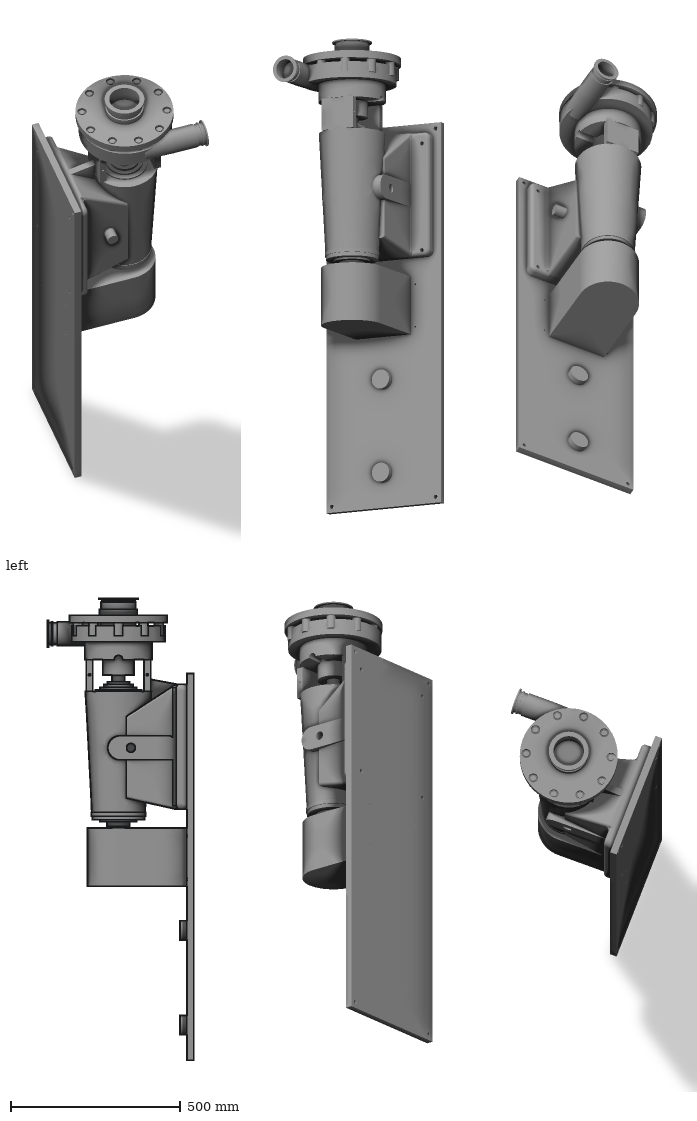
import cadquery as cq
import math


PLATE_WIDTH = 381.0
PLATE_HEIGHT = 1143.0
PLATE_THICKNESS = 20.0
PLATE_FACE_Y = -202.0
CORNER_HOLE_INSET = 18.0
HOLE_DIAMETER = 12.0
GUARD_RADIUS = 92.0
GUARD_BOTTOM_Z = 514.0
GUARD_TOP_Z = 687.0
SCREW_HOLE_DIAMETER = 5.0
SCREW_HOLE_X = 105.0
SCREW_HOLE_LEVELS = [535.0, 663.0]
PAD_RADIUS = 29.0
PAD_LENGTH = 20.0
PAD_LEVELS = [104.0, 384.0]

INLET_TOP_Z = 1366.0
FERRULE_THICKNESS = 4.0
INLET_FERRULE_RADIUS = 59.0
INLET_NECK_RADIUS = 49.0
INLET_PIPE_RADIUS = 52.0
INLET_COLLAR_RADIUS = 56.0
INLET_COLLAR_TOP_Z = 1333.0
INLET_BORE_RADIUS = 45.0
COVER_RADIUS = 145.0
COVER_TOP_Z = 1315.0
COVER_BOTTOM_Z = 1294.0
CASING_RADIUS = 138.0
CASING_OFFSET_X = 7.0
CASING_TOP_Z = 1284.0
CASING_BOTTOM_Z = 1236.0
BOLT_COUNT = 10
BOLT_CIRCLE_RADIUS = 125.0
BOSS_RADIUS = 14.0
BOSS_BOTTOM_Z = 1254.0
BOLT_RECESS_DEPTH = 8.0
BOLT_HEAD_RADIUS = 8.0
BOLT_HEAD_HEIGHT = 5.0
DRUM_RADIUS = 100.0
DRUM_BOTTOM_Z = 1185.0
NOTCH_RADIUS = 12.0

OUTLET_X = 115.0
OUTLET_Z = 1261.0
OUTLET_END_Y = 210.0
OUTLET_FERRULE_RADIUS = 40.0
OUTLET_PIPE_RADIUS = 35.0
OUTLET_NECK_RADIUS = 33.0
OUTLET_PIPE_END_Y = 180.0
OUTLET_CONE_END_Y = 105.0
OUTLET_START_Y = 14.0
OUTLET_BORE_RADIUS = 29.0
OUTLET_BORE_DEPTH = 48.0
BEAD_Y = 194.0
BEAD_WIDTH = 4.0

FRAME_TOP_Z = 1090.0
FRAME_TOP_RADIUS = 98.0
FRAME_BOTTOM_Z = 734.0
FRAME_BOTTOM_RADIUS = 79.0
END_FLANGE_RADIUS = 80.0
END_FLANGE_BOTTOM_Z = 710.0
END_CAP_RADIUS = 78.0
END_CAP_TOP_Z = 721.0
COUPLING_RADIUS = 46.0
COUPLING_BOTTOM_Z = 1138.0
SHAFT_RADIUS = 19.0
BEARING_COVER_RADIUS = 68.0
BEARING_COVER_HEIGHT = 5.0
HUB_STEPS = [(55.0, 1102.0), (44.0, 1110.0), (33.0, 1119.0)]
LOWER_COVER_RADIUS = 55.0
LOWER_HUB_RADIUS = 34.0
LOWER_HUB_END_Z = 691.0

LEG_HALF_WIDTH = 52.0
LEG_INNER_Y = 75.0
LEG_THICKNESS = 20.0
LEG_HOLE_Z = 1139.0
LEG_HOLE_DIAMETER = 5.0

FOOT_WIDTH = 333.0
FOOT_THICKNESS = 31.0
FOOT_BOTTOM_Z = 742.0
FOOT_TOP_Z = 1112.0
FOOT_CORNER_RADIUS = 18.0
FOOT_EDGE_RADIUS = 11.0
FOOT_HOLE_X = 143.0
FOOT_HOLE_LEVELS = [757.0, 1078.0]
WEB_FRONT_Y = -23.0
WEB_FRONT_HALF_WIDTH = 95.0
WEB_REAR_HALF_WIDTH = 110.0
WEB_FRONT_LOW_Z = 775.0
WEB_FRONT_HIGH_Z = 1016.0
WEB_EDGE_RADIUS = 8.0
WEB_ROOT_RADIUS = 10.0
RIB_WIDTH = 20.0
RIB_TOP_Z = 1130.0

LUG_OUTER_X = -110.0
LUG_INNER_X = -68.0
LUG_HALF_HEIGHT = 35.0
LUG_Z = 923.0
LUG_TIP_Y = 31.0
LUG_REAR_Y = -167.0
LUG_REAR_RADIUS = 18.0
LUG_HOLE_Y = -37.0
LUG_HOLE_DIAMETER = 26.0
PLUG_Y = -83.0
PLUG_RADIUS = 16.0
PLUG_INNER_X = 95.0
PLUG_OUTER_X = 135.0


def cylinder_z(radius, bottom, top, x=0.0, y=0.0):
    return cq.Workplane("XY", origin=(x, y, bottom)).circle(radius).extrude(top - bottom)


def cylinder_y(radius, start, end, x, z):
    return cq.Workplane("XZ", origin=(x, start, z)).circle(radius).extrude(start - end)


def cylinder_x(radius, start, end, y, z):
    return cq.Workplane("YZ", origin=(start, y, z)).circle(radius).extrude(end - start)


def box(x_range, y_range, z_range):
    lengths = [high - low for low, high in (x_range, y_range, z_range)]
    corner = (x_range[0], y_range[0], z_range[0])
    return cq.Workplane("XY", origin=corner).box(*lengths, centered=False)


def turned(profile):
    """Revolve (radius, height) points about Z, closing the outline along the axis."""
    outline = [(0, profile[0][1])] + profile + [(0, profile[-1][1])]
    return cq.Workplane("XZ").polyline(outline).close().revolve(360, (0, 0), (0, 1))


def plate_holes():
    plate_rear_y = PLATE_FACE_Y - PLATE_THICKNESS
    corner_x = PLATE_WIDTH / 2 - CORNER_HOLE_INSET
    corner_levels = [CORNER_HOLE_INSET, PLATE_HEIGHT - CORNER_HOLE_INSET]
    patterns = [
        (corner_x, corner_levels, HOLE_DIAMETER),
        (FOOT_HOLE_X, FOOT_HOLE_LEVELS, HOLE_DIAMETER),
        (SCREW_HOLE_X, SCREW_HOLE_LEVELS, SCREW_HOLE_DIAMETER),
    ]
    holes = cq.Workplane("XY")
    for hole_x, levels, diameter in patterns:
        for side in (-1, 1):
            for z in levels:
                holes = holes.add(cylinder_y(diameter / 2, plate_rear_y, PLATE_FACE_Y, side * hole_x, z))
    return holes.combine()


def belt_guard():
    return (
        cq.Workplane("XY", origin=(0, 0, GUARD_BOTTOM_Z))
        .moveTo(-GUARD_RADIUS, PLATE_FACE_Y)
        .lineTo(GUARD_RADIUS, PLATE_FACE_Y)
        .lineTo(GUARD_RADIUS, 0)
        .threePointArc((0, GUARD_RADIUS), (-GUARD_RADIUS, 0))
        .close()
        .extrude(GUARD_TOP_Z - GUARD_BOTTOM_Z)
    )


def make_base():
    half_width = PLATE_WIDTH / 2
    plate_rear_y = PLATE_FACE_Y - PLATE_THICKNESS
    base = box((-half_width, half_width), (plate_rear_y, PLATE_FACE_Y), (0, PLATE_HEIGHT))
    base = base.cut(plate_holes()).union(belt_guard())
    for z in PAD_LEVELS:
        base = base.union(cylinder_y(PAD_RADIUS, PLATE_FACE_Y, PLATE_FACE_Y + PAD_LENGTH, 0, z))
    return base


def pump_inlet():
    ferrule_z = INLET_TOP_Z - FERRULE_THICKNESS
    neck_z = ferrule_z - FERRULE_THICKNESS
    return turned([
        (INLET_COLLAR_RADIUS, COVER_TOP_Z),
        (INLET_COLLAR_RADIUS, INLET_COLLAR_TOP_Z),
        (INLET_PIPE_RADIUS, INLET_COLLAR_TOP_Z),
        (INLET_PIPE_RADIUS, neck_z - FERRULE_THICKNESS),
        (INLET_NECK_RADIUS, neck_z),
        (INLET_NECK_RADIUS, ferrule_z),
        (INLET_FERRULE_RADIUS, ferrule_z),
        (INLET_FERRULE_RADIUS, INLET_TOP_Z),
    ]).cut(cylinder_z(INLET_BORE_RADIUS, COVER_TOP_Z, INLET_TOP_Z))


def pump_outlet():
    ferrule_y = OUTLET_END_Y - FERRULE_THICKNESS
    bore_start_y = OUTLET_END_Y - OUTLET_BORE_DEPTH
    outlet = cylinder_y(OUTLET_PIPE_RADIUS, OUTLET_CONE_END_Y, OUTLET_PIPE_END_Y, OUTLET_X, OUTLET_Z)
    cone = (
        cq.Workplane("XZ", origin=(OUTLET_X, OUTLET_START_Y, OUTLET_Z))
        .circle(OUTLET_NECK_RADIUS)
        .workplane(offset=OUTLET_START_Y - OUTLET_CONE_END_Y)
        .circle(OUTLET_PIPE_RADIUS)
        .loft()
    )
    outlet = outlet.union(cone)
    steps = [
        (OUTLET_NECK_RADIUS, OUTLET_PIPE_END_Y, ferrule_y),
        (OUTLET_PIPE_RADIUS, BEAD_Y, BEAD_Y + BEAD_WIDTH),
        (OUTLET_FERRULE_RADIUS, ferrule_y, OUTLET_END_Y),
    ]
    for radius, start, end in steps:
        outlet = outlet.union(cylinder_y(radius, start, end, OUTLET_X, OUTLET_Z))
    return outlet.cut(cylinder_y(OUTLET_BORE_RADIUS, bore_start_y, OUTLET_END_Y, OUTLET_X, OUTLET_Z))


def pump_head():
    """Cover, eccentric casing and drum, joined by a central spigot and the bolt bosses."""
    cover = cylinder_z(COVER_RADIUS, COVER_BOTTOM_Z, COVER_TOP_Z)
    spigot = cylinder_z(INLET_PIPE_RADIUS, CASING_TOP_Z, COVER_BOTTOM_Z)
    casing = cylinder_z(CASING_RADIUS, CASING_BOTTOM_Z, CASING_TOP_Z, x=CASING_OFFSET_X)
    drum = cylinder_z(DRUM_RADIUS, DRUM_BOTTOM_Z, CASING_BOTTOM_Z)
    notch = cylinder_x(NOTCH_RADIUS, -DRUM_RADIUS, DRUM_RADIUS, 0, DRUM_BOTTOM_Z)
    head = cover.union(spigot).union(casing).union(drum.cut(notch))
    recess_floor_z = COVER_TOP_Z - BOLT_RECESS_DEPTH
    bolt_top_z = recess_floor_z + BOLT_HEAD_HEIGHT
    for i in range(BOLT_COUNT):
        angle = 2 * math.pi * i / BOLT_COUNT
        x = BOLT_CIRCLE_RADIUS * math.cos(angle)
        y = BOLT_CIRCLE_RADIUS * math.sin(angle)
        head = head.union(cylinder_z(BOSS_RADIUS, BOSS_BOTTOM_Z, COVER_BOTTOM_Z, x, y))
        head = head.cut(cylinder_z(BOSS_RADIUS, recess_floor_z, COVER_TOP_Z, x, y))
        head = head.union(cylinder_z(BOLT_HEAD_RADIUS, recess_floor_z, bolt_top_z, x, y))
    return head.union(pump_inlet()).union(pump_outlet())


def bearing_frame():
    """Tapered frame with its bearing covers, and the shaft and coupling on the same axis."""
    top_cover_z = FRAME_TOP_Z + BEARING_COVER_HEIGHT
    lower_cover_z = END_FLANGE_BOTTOM_Z - BEARING_COVER_HEIGHT
    hub_outline = []
    step_z = top_cover_z
    for radius, step_top_z in HUB_STEPS:
        hub_outline += [(radius, step_z), (radius, step_top_z)]
        step_z = step_top_z
    return turned([
        (SHAFT_RADIUS, GUARD_TOP_Z),
        (SHAFT_RADIUS, LOWER_HUB_END_Z),
        (LOWER_HUB_RADIUS, LOWER_HUB_END_Z),
        (LOWER_HUB_RADIUS, lower_cover_z),
        (LOWER_COVER_RADIUS, lower_cover_z),
        (LOWER_COVER_RADIUS, END_FLANGE_BOTTOM_Z),
        (END_CAP_RADIUS, END_FLANGE_BOTTOM_Z),
        (END_CAP_RADIUS, END_CAP_TOP_Z),
        (END_FLANGE_RADIUS, END_CAP_TOP_Z),
        (END_FLANGE_RADIUS, FRAME_BOTTOM_Z),
        (FRAME_BOTTOM_RADIUS, FRAME_BOTTOM_Z),
        (FRAME_TOP_RADIUS, FRAME_TOP_Z),
        (BEARING_COVER_RADIUS, FRAME_TOP_Z),
        (BEARING_COVER_RADIUS, top_cover_z),
        *hub_outline,
        (SHAFT_RADIUS, step_z),
        (SHAFT_RADIUS, COUPLING_BOTTOM_Z),
        (COUPLING_RADIUS, COUPLING_BOTTOM_Z),
        (COUPLING_RADIUS, DRUM_BOTTOM_Z + NOTCH_RADIUS),
    ])


def lantern_leg(side):
    leg_y = sorted((side * LEG_INNER_Y, side * (LEG_INNER_Y + LEG_THICKNESS)))
    leg = box((-LEG_HALF_WIDTH, LEG_HALF_WIDTH), leg_y, (FRAME_TOP_Z, DRUM_BOTTOM_Z))
    hole = cylinder_x(LEG_HOLE_DIAMETER / 2, -LEG_HALF_WIDTH, LEG_HALF_WIDTH, sum(leg_y) / 2, LEG_HOLE_Z)
    return leg.cut(hole)


def bracket_foot():
    foot_top_y = PLATE_FACE_Y + FOOT_THICKNESS
    half_width = FOOT_WIDTH / 2
    foot = (
        box((-half_width, half_width), (PLATE_FACE_Y, foot_top_y), (FOOT_BOTTOM_Z, FOOT_TOP_Z))
        .edges("|Y").fillet(FOOT_CORNER_RADIUS)
    )
    foot = foot.faces(">Y").edges("|Z").fillet(FOOT_EDGE_RADIUS)
    for side in (-1, 1):
        for z in FOOT_HOLE_LEVELS:
            foot = foot.cut(cylinder_y(HOLE_DIAMETER / 2, PLATE_FACE_Y, foot_top_y, side * FOOT_HOLE_X, z))
    return foot


def bracket_web():
    """Block between frame and foot: it widens toward the foot in plan and in side view."""
    foot_top_y = PLATE_FACE_Y + FOOT_THICKNESS
    plan = [
        (-WEB_FRONT_HALF_WIDTH, WEB_FRONT_Y),
        (-WEB_REAR_HALF_WIDTH, foot_top_y),
        (-WEB_REAR_HALF_WIDTH, PLATE_FACE_Y),
        (WEB_REAR_HALF_WIDTH, PLATE_FACE_Y),
        (WEB_REAR_HALF_WIDTH, foot_top_y),
        (WEB_FRONT_HALF_WIDTH, WEB_FRONT_Y),
    ]
    side_outline = [
        (WEB_FRONT_Y, WEB_FRONT_LOW_Z),
        (WEB_FRONT_Y, WEB_FRONT_HIGH_Z),
        (foot_top_y, FOOT_TOP_Z),
        (PLATE_FACE_Y, FOOT_TOP_Z),
        (PLATE_FACE_Y, FOOT_BOTTOM_Z),
        (foot_top_y, FOOT_BOTTOM_Z),
    ]
    block = cq.Workplane("XY").polyline(plan).close().extrude(FOOT_TOP_Z)
    wedge = cq.Workplane("YZ").polyline(side_outline).close().extrude(WEB_REAR_HALF_WIDTH, both=True)
    sloping_edges = block.intersect(wedge).edges("not (|X or |Y or |Z)")
    return sloping_edges.fillet(WEB_EDGE_RADIUS)


def web_roots():
    """Concave fillets along both sides of the web where it meets the foot."""
    foot_top_y = PLATE_FACE_Y + FOOT_THICKNESS
    roots = cq.Workplane("XY")
    for side in (-1, 1):
        corner_x = side * WEB_REAR_HALF_WIDTH
        bend = WEB_ROOT_RADIUS * (1 - math.sqrt(0.5))
        root = (
            cq.Workplane("XY", origin=(0, 0, FOOT_BOTTOM_Z + FOOT_EDGE_RADIUS))
            .moveTo(corner_x + side * WEB_ROOT_RADIUS, foot_top_y)
            .threePointArc(
                (corner_x + side * bend, foot_top_y + bend),
                (corner_x, foot_top_y + WEB_ROOT_RADIUS),
            )
            .lineTo(corner_x - side * WEB_ROOT_RADIUS, foot_top_y + WEB_ROOT_RADIUS)
            .lineTo(corner_x - side * WEB_ROOT_RADIUS, foot_top_y)
            .close()
            .extrude(FOOT_TOP_Z - FOOT_BOTTOM_Z - 2 * FOOT_EDGE_RADIUS)
        )
        roots = roots.add(root)
    return roots.combine()


def bracket_rib():
    front_y = -LEG_INNER_Y
    rear_y = PLATE_FACE_Y + FOOT_THICKNESS
    outline = [
        (front_y, WEB_FRONT_HIGH_Z),
        (front_y, RIB_TOP_Z),
        (rear_y, FOOT_TOP_Z),
    ]
    return cq.Workplane("YZ").polyline(outline).close().extrude(RIB_WIDTH / 2, both=True)


def lifting_lug():
    low_z = LUG_Z - LUG_HALF_HEIGHT
    high_z = LUG_Z + LUG_HALF_HEIGHT
    arc_y = LUG_TIP_Y - LUG_HALF_HEIGHT
    bend = LUG_REAR_RADIUS * (1 - math.sqrt(0.5))
    return (
        cq.Workplane("YZ", origin=(LUG_OUTER_X, 0, 0))
        .moveTo(LUG_REAR_Y, low_z)
        .lineTo(arc_y, low_z)
        .threePointArc((LUG_TIP_Y, LUG_Z), (arc_y, high_z))
        .lineTo(LUG_REAR_Y + LUG_REAR_RADIUS, high_z)
        .threePointArc((LUG_REAR_Y + bend, high_z - bend), (LUG_REAR_Y, high_z - LUG_REAR_RADIUS))
        .close()
        .extrude(LUG_INNER_X - LUG_OUTER_X)
    )


def make_pump():
    bracket = bracket_foot().union(bracket_web()).union(web_roots()).union(bracket_rib())
    pump = bearing_frame().union(pump_head()).union(bracket)
    for side in (-1, 1):
        pump = pump.union(lantern_leg(side))
    pump = pump.union(cylinder_x(PLUG_RADIUS, PLUG_INNER_X, PLUG_OUTER_X, PLUG_Y, LUG_Z))
    pump = pump.union(lifting_lug())
    return pump.cut(cylinder_x(LUG_HOLE_DIAMETER / 2, LUG_OUTER_X, LUG_INNER_X, LUG_HOLE_Y, LUG_Z))


base = make_base()
pump = make_pump()
result = cq.Compound.makeCompound([base.val(), pump.val()])